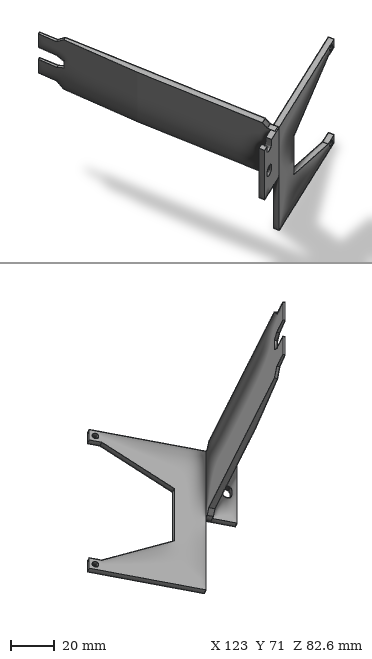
import cadquery as cq

length = 123.0
plate_thickness = 3.0
plate_height = 38.1
step_down = 2.6

tab_face_x = length - plate_thickness

tip_thickness = 1.1
taper_length = 52.0
finger_length = 9.5
shoulder_x = 13.3
shoulder_drop = 3.9
fork_corner_x = 9.7
fork_mouth_width = 9.3
fork_floor_width = 5.2
tongue_depth = 2.2
step_start_x = 115.9
step_end_x = step_start_x + step_down
tongue_end_x = tab_face_x + tongue_depth

tab_width = 14.9
slot_width = 4.4
slot_y = -10.1
open_slot_depth = 5.7
closed_slot_length = 6.8
closed_slot_drop = 21.2

arm_width = 56.1
arm_height = 80.0
lug_size = 6.0
web_y = 15.3
cutout_inset = 25.0
lug_hole_diameter = 3.0
lug_hole_inset = lug_size / 2


def make_blade():
    """Tapered plate with a forked tip and a lowered tongue at the other end."""
    middle_z = -plate_height / 2
    fork_mouth = fork_mouth_width / 2
    fork_floor = fork_floor_width / 2
    outline = [
        (0, -shoulder_drop),
        (finger_length, -shoulder_drop),
        (shoulder_x, 0),
        (step_start_x, 0),
        (step_end_x, -step_down),
        (tongue_end_x, -step_down),
        (tongue_end_x, -plate_height - step_down),
        (step_end_x, -plate_height - step_down),
        (step_start_x, -plate_height),
        (shoulder_x, -plate_height),
        (finger_length, -plate_height + shoulder_drop),
        (0, -plate_height + shoulder_drop),
        (0, middle_z - fork_mouth),
        (fork_corner_x, middle_z - fork_mouth),
        (shoulder_x, middle_z - fork_floor),
        (shoulder_x, middle_z + fork_floor),
        (fork_corner_x, middle_z + fork_mouth),
        (0, middle_z + fork_mouth),
    ]
    plate = cq.Workplane("XZ").polyline(outline).close().extrude(plate_thickness)
    taper = (
        cq.Workplane("XY")
        .workplane(offset=-plate_height)
        .moveTo(0, -plate_thickness)
        .lineTo(taper_length, -plate_thickness)
        .lineTo(0, -tip_thickness)
        .close()
        .extrude(plate_height)
    )
    return plate.cut(taper)


def make_tab():
    """Upright flange with an open slot, a closed slot and a recess for the blade."""
    top_z = -step_down
    tab = cq.Workplane("XY").box(plate_thickness, tab_width, plate_height, centered=False)
    tab = tab.translate((tab_face_x, -tab_width, top_z - plate_height))
    recess = cq.Workplane("XY").box(tongue_depth, plate_thickness, plate_height, centered=False)
    recess = recess.translate((tab_face_x, -plate_thickness, top_z - plate_height))
    slot_plane = cq.Workplane("YZ").workplane(offset=tab_face_x)
    open_slot = (
        slot_plane.center(slot_y, top_z)
        .slot2D(2 * open_slot_depth, slot_width, 90)
        .extrude(plate_thickness)
    )
    closed_slot = (
        slot_plane.center(slot_y, top_z - closed_slot_drop)
        .slot2D(closed_slot_length, slot_width, 90)
        .extrude(plate_thickness)
    )
    return tab.cut(recess).cut(open_slot).cut(closed_slot)


def make_arm():
    """C-shaped plate behind the blade, with a drilled lug on each end."""
    top_z = -step_down
    bottom_z = top_z - arm_height
    outline = [
        (0, top_z),
        (arm_width, top_z),
        (arm_width, top_z - lug_size),
        (arm_width - lug_size, top_z - lug_size),
        (web_y, top_z - cutout_inset),
        (web_y, bottom_z + cutout_inset),
        (arm_width - lug_size, bottom_z + lug_size),
        (arm_width, bottom_z + lug_size),
        (arm_width, bottom_z),
        (0, bottom_z),
    ]
    arm_plane = cq.Workplane("YZ").workplane(offset=tab_face_x)
    arm = arm_plane.polyline(outline).close().extrude(plate_thickness)
    hole_y = arm_width - lug_hole_inset
    hole_centres = [(hole_y, top_z - lug_hole_inset), (hole_y, bottom_z + lug_hole_inset)]
    holes = arm_plane.pushPoints(hole_centres).circle(lug_hole_diameter / 2).extrude(plate_thickness)
    return arm.cut(holes)


blade = make_blade()
tab = make_tab()
arm = make_arm()

result = cq.Compound.makeCompound([blade.val(), tab.val(), arm.val()])